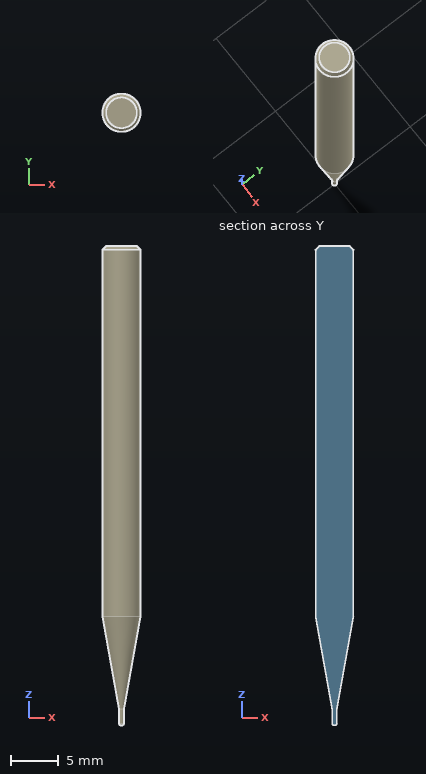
import cadquery as cq
import math

total_length = 50.0
shank_diameter = 4.0
shank_chamfer = 0.4
cone_top_z = 11.4
tip_diameter = 0.55
tip_length = 1.75

shank_radius = shank_diameter / 2
ball_radius = tip_diameter / 2

arc_mid_x = ball_radius * math.sin(math.pi / 4)
arc_mid_z = ball_radius * (1 - math.cos(math.pi / 4))

profile = (
    cq.Workplane("XZ")
    .threePointArc((arc_mid_x, arc_mid_z), (ball_radius, ball_radius))
    .lineTo(ball_radius, tip_length)
    .lineTo(shank_radius, cone_top_z)
    .lineTo(shank_radius, total_length - shank_chamfer)
    .lineTo(shank_radius - shank_chamfer, total_length)
    .lineTo(0, total_length)
    .close()
)

result = profile.revolve(360, (0, 0, 0), (0, 1, 0))